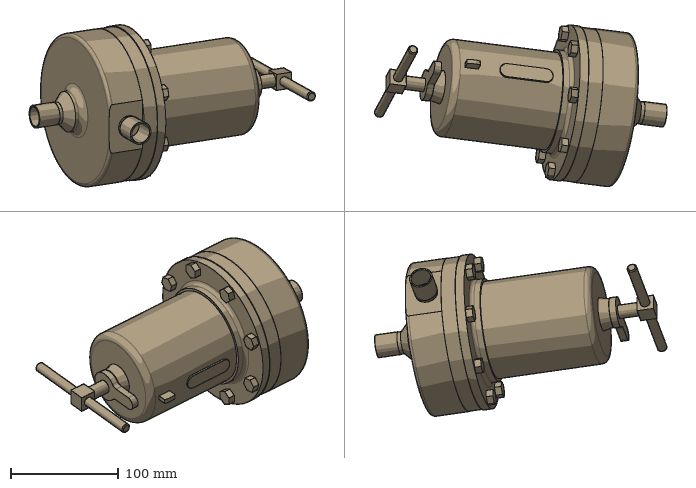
import cadquery as cq
import math

stub_length = 21.3
inlet_cone_start = 24.8
inlet_cone_end = 33.3
inlet_boss_end = 36.5
body_front = 43.0
body_end = 77.8
ring_end = 91.7
flange_end = 100.2
collar_start = 104.0
collar_end = 109.8
bonnet_end = 215.0
neck_end = 225.2
nut_end = 231.8
block_start = 250.7
overall_length = 266.5

pipe_diameter = 21.5
pipe_radius = pipe_diameter / 2
pipe_root_diameter = 21.0
pipe_root_radius = pipe_root_diameter / 2
bore_radius = 9.3
inlet_boss_radius = 19.2
body_radius = 72.5
ring_radius = 72.2
flange_radius = 73.0
collar_radius = 48.5
bonnet_diameter = 92.0
bonnet_radius = bonnet_diameter / 2
neck_base_radius = 15.7
neck_mid_radius = 14.5
neck_top_radius = 13.5
nut_radius = 14.5
stem_radius = 6.5

body_fillet = 3.2
bonnet_fillet = 6.5

outlet_y = 63.5
outlet_flat_x = 68.5
outlet_root_end = 71.5

bolt_count = 8
bolt_circle_radius = 64.5
bolt_corner_diameter = 15.0
bolt_head_height = 6.5
bolt_pitch = 360 / bolt_count

block_size = 15.7
bar_radius = 4.5
bar_length = 126.8
bar_chamfer = 1.0

tab_tip_x = -40.5
tab_half_width = 6.5
tab_root_fillet = 6.5

pointer_start = 191.3
pointer_end = 204.0
pointer_tip_x = -55.0
pointer_crown = 0.8
pointer_thickness = 4.3

plate_start = 119.5
plate_end = 170.5
plate_width = 13.9
plate_face_x = -47.5


def arc_middle(center_r, center_y, radius, direction_r, direction_y):
    """Middle point of a quarter arc bulging towards the given diagonal direction."""
    offset = radius * math.sqrt(0.5)
    return (center_r + direction_r * offset, center_y + direction_y * offset)


def make_turned_body():
    """Pipe, body, flange, bonnet and stem as one revolution about Y."""
    boss_flare = body_front - inlet_boss_end
    collar_flare = collar_start - flange_end
    boss_foot_radius = inlet_boss_radius + boss_flare
    collar_foot_radius = collar_radius + collar_flare
    body_face_radius = body_radius - body_fillet
    bonnet_face_radius = bonnet_radius - bonnet_fillet
    profile = (
        cq.Workplane("XY")
        .lineTo(pipe_radius, 0)
        .lineTo(pipe_radius, stub_length)
        .lineTo(pipe_root_radius, stub_length)
        .lineTo(pipe_root_radius, inlet_cone_start)
        .lineTo(inlet_boss_radius, inlet_cone_end)
        .lineTo(inlet_boss_radius, inlet_boss_end)
        .threePointArc(
            arc_middle(boss_foot_radius, inlet_boss_end, boss_flare, -1, 1),
            (boss_foot_radius, body_front),
        )
        .lineTo(body_face_radius, body_front)
        .threePointArc(
            arc_middle(body_face_radius, body_front + body_fillet, body_fillet, 1, -1),
            (body_radius, body_front + body_fillet),
        )
        .lineTo(body_radius, body_end)
        .lineTo(ring_radius, body_end)
        .lineTo(ring_radius, ring_end)
        .lineTo(flange_radius, ring_end)
        .lineTo(flange_radius, flange_end)
        .lineTo(collar_foot_radius, flange_end)
        .threePointArc(
            arc_middle(collar_foot_radius, collar_start, collar_flare, -1, -1),
            (collar_radius, collar_start),
        )
        .lineTo(collar_radius, collar_end)
        .lineTo(bonnet_radius, collar_end)
        .lineTo(bonnet_radius, bonnet_end - bonnet_fillet)
        .threePointArc(
            arc_middle(bonnet_face_radius, bonnet_end - bonnet_fillet, bonnet_fillet, 1, 1),
            (bonnet_face_radius, bonnet_end),
        )
        .lineTo(neck_base_radius, bonnet_end)
        .threePointArc(
            (neck_mid_radius, (bonnet_end + neck_end) / 2),
            (neck_top_radius, neck_end),
        )
        .lineTo(nut_radius, neck_end)
        .lineTo(nut_radius, nut_end)
        .lineTo(stem_radius, nut_end)
        .lineTo(stem_radius, block_start)
        .lineTo(0, block_start)
        .close()
    )
    return profile.revolve(360, (0, 0, 0), (0, 1, 0))


def cut_outlet_flat(part):
    """Flat seat on the +X side of the body, below the ring."""
    flat_depth = body_radius - outlet_flat_x
    seat = cq.Workplane("XY").box(
        flat_depth, body_end - body_front, 2 * body_radius, centered=(False, False, True)
    )
    return part.cut(seat.translate((outlet_flat_x, body_front, 0)))


def make_outlet():
    """Side pipe with a slightly thinner root, along +X."""
    root_plane = cq.Workplane("YZ", origin=(outlet_flat_x, outlet_y, 0))
    root = root_plane.circle(pipe_root_radius).extrude(outlet_root_end - outlet_flat_x)
    pipe_plane = cq.Workplane("YZ", origin=(outlet_root_end, outlet_y, 0))
    return root.union(pipe_plane.circle(pipe_radius).extrude(stub_length))


def cut_bores(part):
    """Blind bores in the inlet and outlet pipes."""
    inlet_bore = cq.Workplane("XZ").circle(bore_radius).extrude(-stub_length)
    outlet_plane = cq.Workplane("YZ", origin=(outlet_root_end, outlet_y, 0))
    outlet_bore = outlet_plane.circle(bore_radius).extrude(stub_length)
    return part.cut(inlet_bore).cut(outlet_bore)


def make_bolt_heads():
    """Ring of hexagon heads on the flange, each turned with its place on the circle."""
    first_angle = bolt_pitch / 2
    head = (
        cq.Workplane("XZ", origin=(0, flange_end, 0))
        .polygon(6, bolt_corner_diameter)
        .extrude(-bolt_head_height)
        .rotate((0, 0, 0), (0, 1, 0), -first_angle)
        .translate((bolt_circle_radius, 0, 0))
    )
    heads = cq.Workplane("XY")
    for index in range(bolt_count):
        angle = first_angle + index * bolt_pitch
        heads = heads.add(head.rotate((0, 0, 0), (0, 1, 0), angle))
    return heads.combine()


def make_handle():
    """Square block at the end of the stem with a cross bar through it."""
    block_center_y = (block_start + overall_length) / 2
    block = cq.Workplane("XY").box(block_size, overall_length - block_start, block_size)
    bar = cq.Workplane("YZ").circle(bar_radius).extrude(bar_length / 2, both=True)
    bar = bar.faces("<X or >X").chamfer(bar_chamfer)
    return block.union(bar).translate((0, block_center_y, 0))


def make_nut_tab():
    """Round-ended tab on the lock nut, blended into the nut by concave arcs."""
    tip_center_x = tab_tip_x + tab_half_width
    blend_center_z = tab_half_width + tab_root_fillet
    blend_center_distance = nut_radius + tab_root_fillet
    blend_center_x = -math.sqrt(blend_center_distance**2 - blend_center_z**2)
    touch_x = blend_center_x * nut_radius / blend_center_distance
    touch_z = blend_center_z * nut_radius / blend_center_distance
    touch_angle = math.atan2(touch_z - blend_center_z, touch_x - blend_center_x)
    middle_angle = (touch_angle - math.pi / 2) / 2
    middle_x = blend_center_x + tab_root_fillet * math.cos(middle_angle)
    middle_z = blend_center_z + tab_root_fillet * math.sin(middle_angle)
    return (
        cq.Workplane("XZ", origin=(0, neck_end, 0))
        .moveTo(touch_x, touch_z)
        .threePointArc((middle_x, middle_z), (blend_center_x, tab_half_width))
        .lineTo(tip_center_x, tab_half_width)
        .threePointArc((tab_tip_x, 0), (tip_center_x, -tab_half_width))
        .lineTo(blend_center_x, -tab_half_width)
        .threePointArc((middle_x, -middle_z), (touch_x, -touch_z))
        .lineTo(0, 0)
        .close()
        .extrude(neck_end - nut_end)
    )


def make_pointer():
    """Small upright block on the -X side of the bonnet with a crowned tip."""
    root_x = -bonnet_radius + bonnet_fillet
    shoulder_x = pointer_tip_x + pointer_crown
    return (
        cq.Workplane("XY")
        .moveTo(root_x, pointer_start)
        .lineTo(shoulder_x, pointer_start)
        .threePointArc(
            (pointer_tip_x, (pointer_start + pointer_end) / 2),
            (shoulder_x, pointer_end),
        )
        .lineTo(root_x, pointer_end)
        .close()
        .extrude(pointer_thickness / 2, both=True)
    )


def make_name_plate():
    """Raised round-ended plate on the -X side of the bonnet."""
    plate_center_y = (plate_start + plate_end) / 2
    root_x = -bonnet_radius + bonnet_fillet
    return (
        cq.Workplane("YZ", origin=(plate_face_x, plate_center_y, 0))
        .slot2D(plate_end - plate_start, plate_width)
        .extrude(root_x - plate_face_x)
    )


valve = cut_outlet_flat(make_turned_body())
valve = valve.union(make_outlet())
valve = cut_bores(valve)
features = (make_bolt_heads(), make_handle(), make_nut_tab(), make_pointer(), make_name_plate())
for feature in features:
    valve = valve.union(feature)

result = valve